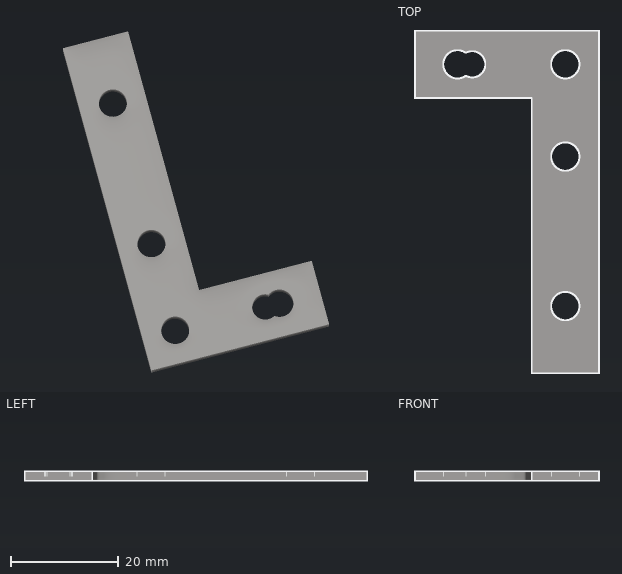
import cadquery as cq

length = 63.9
width = 34.3
thickness = 1.8
arm_width = 12.6

hole_diameter = 5.25
corner_to_middle_hole = 17.2
corner_to_end_hole = 45.05

keyhole_large_diameter = 5.25
keyhole_small_diameter = 4.85
keyhole_large_inset = 7.9
keyhole_spacing = 2.75

long_arm_x = width - arm_width / 2
short_arm_y = length - arm_width / 2


def l_plate():
    """Plate with the long arm along Y and the short arm towards -X."""
    outline = [
        (0, length),
        (width, length),
        (width, 0),
        (width - arm_width, 0),
        (width - arm_width, length - arm_width),
        (0, length - arm_width),
    ]
    return cq.Workplane("XY").polyline(outline).close().extrude(thickness)


def through_hole(x, y, diameter):
    """Cylinder that cuts through the full plate thickness."""
    return cq.Workplane("XY").center(x, y).circle(diameter / 2).extrude(thickness)


result = l_plate()

for offset in (0, corner_to_middle_hole, corner_to_end_hole):
    result = result.cut(through_hole(long_arm_x, short_arm_y - offset, hole_diameter))

keyhole_small_inset = keyhole_large_inset + keyhole_spacing
result = result.cut(through_hole(keyhole_large_inset, short_arm_y, keyhole_large_diameter))
result = result.cut(through_hole(keyhole_small_inset, short_arm_y, keyhole_small_diameter))